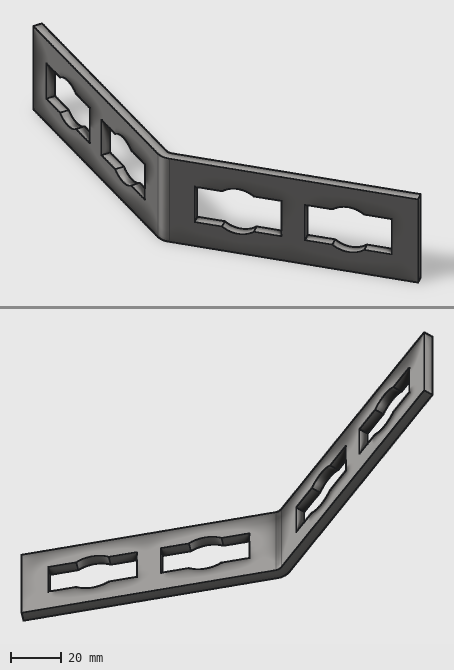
import cadquery as cq
import math

overall_length = 182.2
strip_height = 40.0
thickness = 4.0
bend_angle = 45.0
inner_bend_radius = 3.6

slot_length = 36.0
slot_height = 17.0
hole_diameter = 21.5
slot_pitch = 45.9
slots_per_leg = 2
end_margin = 11.0

outer_bend_radius = inner_bend_radius + thickness
bend_sine = math.sin(math.radians(bend_angle))
bend_cosine = math.cos(math.radians(bend_angle))
leg_length = (overall_length - outer_bend_radius * bend_sine) / (1 + bend_cosine)
outermost_slot_x = leg_length - end_margin - slot_length / 2

bend_axis_bottom = (0, outer_bend_radius, 0)
bend_axis_top = (0, outer_bend_radius, 1)


def make_slot(center_x):
    """Cutter for one through slot, running along Y at mid height."""
    plane = cq.Workplane("XZ").center(center_x, strip_height / 2)
    rectangle = plane.rect(slot_length, slot_height).extrude(-thickness)
    hole = plane.circle(hole_diameter / 2).extrude(-thickness)
    return rectangle.union(hole)


def make_leg():
    """Flat slotted leg running from the bend toward +X."""
    leg = cq.Workplane("XY").box(leg_length, thickness, strip_height, centered=False)
    for index in range(slots_per_leg):
        leg = leg.cut(make_slot(outermost_slot_x - index * slot_pitch))
    return leg


def bend_point(radius, angle):
    """Point on the bend at an angle swept from the start of the straight leg."""
    sweep = math.radians(angle)
    return (-radius * math.sin(sweep), outer_bend_radius - radius * math.cos(sweep))


def make_bend():
    """Curved sector that joins the two legs."""
    return (
        cq.Workplane("XY")
        .moveTo(*bend_point(outer_bend_radius, 0))
        .threePointArc(
            bend_point(outer_bend_radius, bend_angle / 2),
            bend_point(outer_bend_radius, bend_angle),
        )
        .lineTo(*bend_point(inner_bend_radius, bend_angle))
        .threePointArc(
            bend_point(inner_bend_radius, bend_angle / 2),
            bend_point(inner_bend_radius, 0),
        )
        .close()
        .extrude(strip_height)
    )


straight_leg = make_leg()
angled_leg = straight_leg.mirror("YZ").rotate(bend_axis_bottom, bend_axis_top, -bend_angle)

result = straight_leg.union(make_bend()).union(angled_leg)